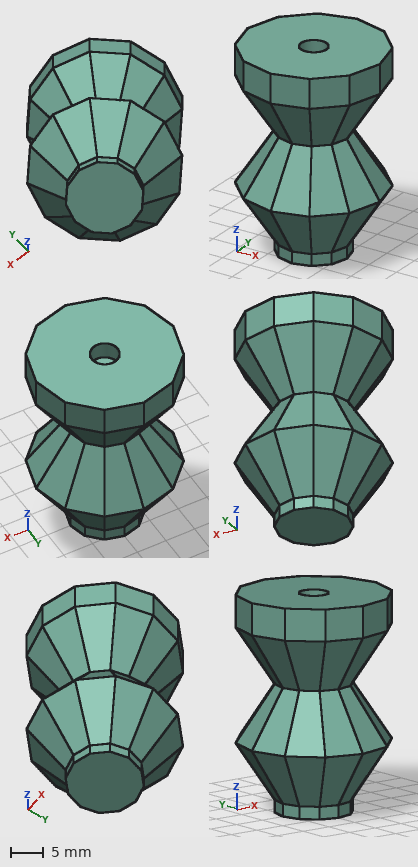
import cadquery as cq

SIDES = 12
WIDE_DIAMETER = 24.0
NARROW_DIAMETER = 12.0
FOOT_HEIGHT = 2.0
TAPER_HEIGHT = 9.0
HEAD_HEIGHT = 5.0
HOLE_DIAMETER = 4.5
HOLE_DEPTH = 3.0

foot_top = FOOT_HEIGHT
bulge = foot_top + TAPER_HEIGHT
neck = bulge + TAPER_HEIGHT
head_bottom = neck + TAPER_HEIGHT
head_top = head_bottom + HEAD_HEIGHT


def prism(bottom, height, diameter):
    """Straight twelve-sided section with corners on the X and Y axes."""
    return cq.Workplane("XY").workplane(offset=bottom).polygon(SIDES, diameter).extrude(height)


def taper(bottom, bottom_diameter, top_diameter):
    """Twelve-sided section that narrows or widens over one taper height."""
    return (
        cq.Workplane("XY")
        .workplane(offset=bottom)
        .polygon(SIDES, bottom_diameter)
        .workplane(offset=TAPER_HEIGHT)
        .polygon(SIDES, top_diameter)
        .loft(ruled=True)
    )


def blind_hole():
    """Flat-bottomed hole sunk into the centre of the head."""
    return (
        cq.Workplane("XY")
        .workplane(offset=head_top)
        .circle(HOLE_DIAMETER / 2)
        .extrude(-HOLE_DEPTH)
    )


body = prism(0, FOOT_HEIGHT, NARROW_DIAMETER)
body = body.union(taper(foot_top, NARROW_DIAMETER, WIDE_DIAMETER))
body = body.union(taper(bulge, WIDE_DIAMETER, NARROW_DIAMETER))
body = body.union(taper(neck, NARROW_DIAMETER, WIDE_DIAMETER))
body = body.union(prism(head_bottom, HEAD_HEIGHT, WIDE_DIAMETER))

result = body.cut(blind_hole())